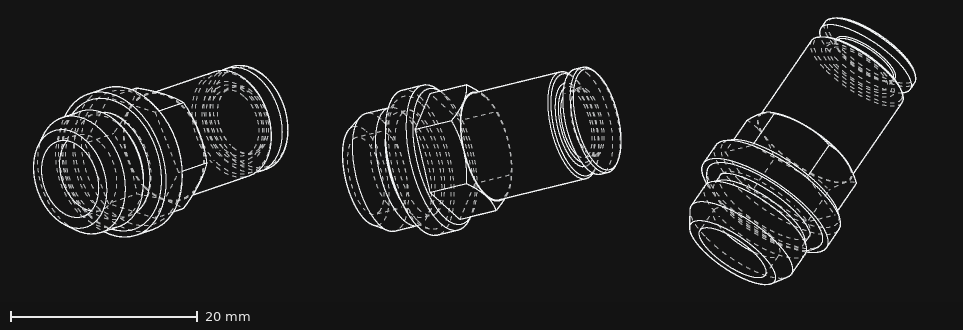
import cadquery as cq
import math

nose_cone_end = 1.75
thread_end = 4.55
groove_start = 5.33
flange_start = 6.5
flange_chamfer_start = 9.0
hex_start = 9.55
hex_chamfer_start = 13.92
hex_end = 14.5
sleeve_chamfer_start = 25.0
sleeve_end = 25.22
lip_end = 25.4
neck_end = 26.6
rim_start = 26.75
total_length = 27.9
rim_chamfer = 0.25

nose_radius = 5.45
thread_radius = 6.5
groove_radius = 5.78
seal_radius = 7.3
flange_radius = 16.0 / 2
flange_chamfer = hex_start - flange_chamfer_start
sleeve_radius = 5.9
sleeve_end_radius = 5.6
lip_base_radius = 4.6
lip_radius = 4.18
neck_radius = 3.65
neck_flare_radius = 3.8
rim_radius = 5.8
bore_radius = 4.25

seal_height = 0.65
bore_depth = 2.8
hex_across_flats = 12.0
hex_corner_radius = hex_across_flats / 2 / math.cos(math.pi / 6)


def turned_body():
    """Revolve the stepped profile, in (radius, Y), about the Y axis."""
    seal_crown = ((seal_radius + groove_radius) / 2, flange_start - seal_height)
    profile = (
        cq.Workplane("XY")
        .lineTo(nose_radius, 0)
        .lineTo(thread_radius, nose_cone_end)
        .lineTo(thread_radius, thread_end)
        .lineTo(groove_radius, groove_start)
        .lineTo(groove_radius, flange_start)
        .threePointArc(seal_crown, (seal_radius, flange_start))
        .lineTo(flange_radius, flange_start)
        .lineTo(flange_radius, flange_chamfer_start)
        .lineTo(flange_radius - flange_chamfer, hex_start)
        .lineTo(sleeve_radius, hex_start)
        .lineTo(sleeve_radius, sleeve_chamfer_start)
        .lineTo(sleeve_end_radius, sleeve_end)
        .lineTo(lip_base_radius, sleeve_end)
        .lineTo(lip_radius, lip_end)
        .lineTo(neck_radius, lip_end)
        .lineTo(neck_radius, neck_end)
        .lineTo(neck_flare_radius, rim_start)
        .lineTo(rim_radius, rim_start)
        .lineTo(rim_radius, total_length - rim_chamfer)
        .lineTo(rim_radius - rim_chamfer, total_length)
        .lineTo(0, total_length)
        .close()
    )
    return profile.revolve(360, (0, 0, 0), (0, 1, 0))


def wrench_hex():
    """Hexagon with corners on the X axis, its far end turned to a cone."""
    prism = (
        cq.Workplane("XZ", origin=(0, hex_start, 0))
        .polygon(6, 2 * hex_corner_radius)
        .extrude(hex_start - hex_end)
    )
    corner_cone = (
        cq.Workplane("XY")
        .moveTo(0, hex_start)
        .lineTo(hex_corner_radius, hex_start)
        .lineTo(hex_corner_radius, hex_chamfer_start)
        .lineTo(hex_across_flats / 2, hex_end)
        .lineTo(0, hex_end)
        .close()
        .revolve(360, (0, 0, 0), (0, 1, 0))
    )
    return prism.intersect(corner_cone)


def nose_bore():
    """Blind round bore in the nose."""
    return cq.Workplane("XZ").circle(bore_radius).extrude(-bore_depth)


result = turned_body().union(wrench_hex()).cut(nose_bore())